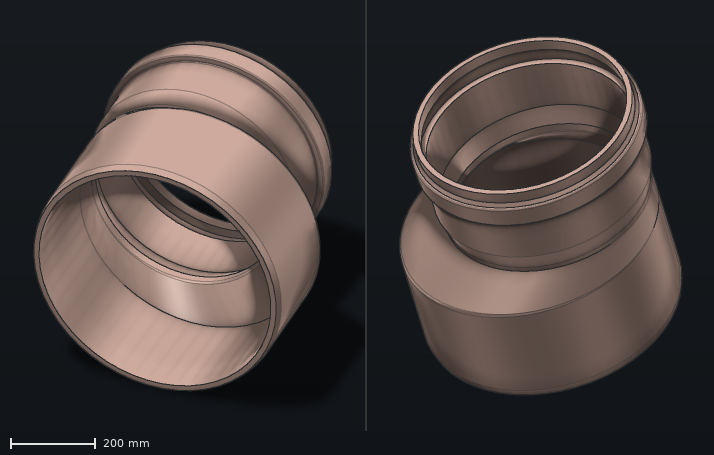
import cadquery as cq
import math


LENGTH = 608.0
TOLERANCE = 0.1
ALONG_Y = cq.Vector(0, 1, 0)

SPIGOT_DIA = 630.0
WALL = 19.3
SPIGOT_BORE = SPIGOT_DIA - 2 * WALL
SPIGOT_END = 266.0
SPIGOT_BEVEL_LENGTH = 20.0
BEVEL_ANGLE = 15.0
SPIGOT_BEVEL_DEPTH = SPIGOT_BEVEL_LENGTH * math.tan(math.radians(BEVEL_ANGLE))

NECK_DIA = 505.0
NECK_BORE = NECK_DIA - 2 * WALL
NECK_START = 339.0
NECK_END = 352.0
NECK_X = -(SPIGOT_DIA - NECK_DIA) / 2

BORE_SHIFT = 11.0
BORE_SPIGOT_END = SPIGOT_END - BORE_SHIFT
BORE_NECK_START = NECK_START - BORE_SHIFT
TRANSITION_FILLET = 10.0

SOCKET_WALL = 14.0
SOCKET_DIA = 530.0
SOCKET_BORE = SOCKET_DIA - 2 * SOCKET_WALL
FLARE_LENGTH = (SOCKET_DIA - NECK_DIA) / 2 / math.tan(math.radians(BEVEL_ANGLE))
SOCKET_START = NECK_END + FLARE_LENGTH

LIP_DIA = 532.5
LIP_BORE = LIP_DIA - 2 * SOCKET_WALL
LIP_LENGTH = 29.0
LIP_START = LENGTH - LIP_LENGTH
LIP_CONE_DIA = 548.0

RING_DIA = 565.0
RING_WALL = 15.0
RING_WIDTH = 51.5
RING_SETBACK = 38.0
RING_END = LENGTH - RING_SETBACK
RING_START = RING_END - RING_WIDTH
RING_FILLET = 3.5
RING_ROOT_FILLET = 2.5
GROOVE_DIA = RING_DIA - 2 * RING_WALL
GROOVE_START = RING_START + RING_WALL


def turned(profile):
    """Solid of revolution about the socket axis, from (diameter, y) steps along its surface."""
    first_y = profile[0][1]
    last_y = profile[-1][1]
    surface = [(diameter / 2, y) for diameter, y in profile]
    outline = [(0, first_y)] + surface + [(0, last_y)]
    body = cq.Workplane("XY").polyline(outline).close().revolve(360, (0, 0, 0), (0, 1, 0))
    return body.translate((NECK_X, 0, 0))


def cylinder(diameter, start, end, x=0.0):
    """Cylinder along Y between two Y positions."""
    return cq.Workplane(cq.Solid.makeCylinder(diameter / 2, end - start, cq.Vector(x, start, 0), ALONG_Y))


def circle_from_plus_x(diameter, x, y):
    """Circle about an axis along Y, starting at its +X point."""
    center = cq.Vector(x, y, 0)
    return cq.Wire.makeCircle(diameter / 2, center, ALONG_Y).rotate(center, center + ALONG_Y, 90)


def oblique_cone(spigot_dia, neck_dia, start, end):
    """Transition whose -X side runs straight from the spigot to the neck.

    Its seam lies on the +X side, away from the cylinder seams, so that its end circles fillet cleanly.
    """
    spigot_circle = circle_from_plus_x(spigot_dia, 0, start)
    neck_circle = circle_from_plus_x(neck_dia, NECK_X, end)
    return cq.Workplane(cq.Solid.makeLoft([spigot_circle, neck_circle], True))


def fillet_circle(body, diameter, y, fillet_radius):
    """Round the circular edge of the given diameter at the given Y position."""
    edges = [
        edge
        for edge in body.edges("%CIRCLE").vals()
        if abs(edge.radius() - diameter / 2) < TOLERANCE and abs(edge.Center().y - y) < TOLERANCE
    ]
    return body.newObject(edges).fillet(fillet_radius)


def spigot_outside():
    """Bevelled spigot with the oblique cone and its rounded shoulder."""
    spigot = cylinder(SPIGOT_DIA, 0, SPIGOT_END)
    spigot = spigot.faces("<Y").chamfer(SPIGOT_BEVEL_LENGTH, SPIGOT_BEVEL_DEPTH)
    body = spigot.union(oblique_cone(SPIGOT_DIA, NECK_DIA, SPIGOT_END, NECK_START))
    return fillet_circle(body, SPIGOT_DIA, SPIGOT_END, TRANSITION_FILLET)


def socket_outside():
    """Neck, flared socket and lip, with the rounded seal ring housing around them."""
    socket = turned([
        (NECK_DIA, NECK_START),
        (NECK_DIA, NECK_END),
        (SOCKET_DIA, SOCKET_START),
        (SOCKET_DIA, RING_START),
        (LIP_CONE_DIA, RING_END),
        (LIP_DIA, LIP_START),
        (LIP_DIA, LENGTH),
    ])
    ring = cylinder(RING_DIA, RING_START, RING_END, NECK_X).edges("%CIRCLE").fillet(RING_FILLET)
    return fillet_circle(socket.union(ring), SOCKET_DIA, RING_START, RING_ROOT_FILLET)


def spigot_inside():
    """Bore of the spigot, transition and neck, rounded where the transition meets the neck."""
    cone = oblique_cone(SPIGOT_BORE, NECK_BORE, BORE_SPIGOT_END, BORE_NECK_START)
    neck = cylinder(NECK_BORE, BORE_NECK_START, NECK_END, NECK_X)
    bore = cylinder(SPIGOT_BORE, 0, BORE_SPIGOT_END).union(cone).union(neck)
    return fillet_circle(bore, NECK_BORE, BORE_NECK_START, TRANSITION_FILLET)


def socket_inside():
    """Socket bore from the neck to the mouth, with the groove for the seal ring."""
    return turned([
        (NECK_BORE, NECK_END),
        (SOCKET_BORE, SOCKET_START),
        (SOCKET_BORE, GROOVE_START),
        (GROOVE_DIA, GROOVE_START),
        (GROOVE_DIA, RING_END),
        (LIP_BORE, LIP_START),
        (LIP_BORE, LENGTH),
    ])


outside = spigot_outside().union(socket_outside())
result = outside.cut(spigot_inside()).cut(socket_inside()).solids()